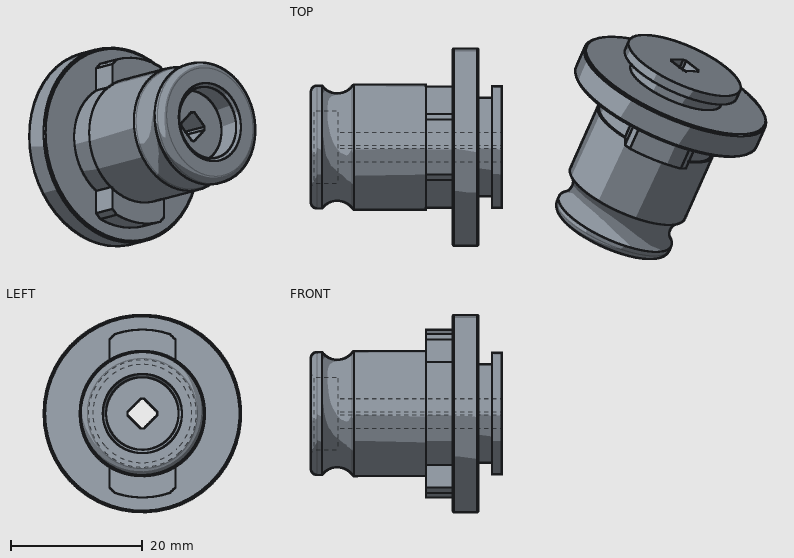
import cadquery as cq

lip_end = 1.7
groove_end = 6.3
shoulder_end = 17.5
flange_start = 21.5
flange_end = 25.5
neck_end = 27.5
total_length = 29.0

lip_diameter = 18.7
groove_diameter = 16.35
body_diameter = 19.05
collar_diameter = 18.5
flange_diameter = 30.0
neck_diameter = 15.0
end_disc_diameter = 18.5

lip_fillet = 1.0
body_chamfer = 0.25
flange_chamfer = 0.25

lug_width = 10.0
lug_diameter = 25.5
lug_corner_chamfer = 0.8

bore_diameter = 11.0
bore_depth = 4.1
bore_chamfer = 0.5
drive_square = 3.5
drive_corner_diameter = 4.5


def disc(diameter, start, end):
    """Solid cylinder along X between two stations."""
    return cq.Workplane("YZ", origin=(start, 0, 0)).circle(diameter / 2).extrude(end - start)


def make_front_body():
    """Rounded lip, concave ring groove and cylindrical body."""
    lip_radius = lip_diameter / 2
    body_radius = body_diameter / 2
    groove_middle = (lip_end + groove_end) / 2
    profile = (
        cq.Workplane("XY")
        .lineTo(0, lip_radius)
        .lineTo(lip_end, lip_radius)
        .threePointArc((groove_middle, groove_diameter / 2), (groove_end, body_radius - body_chamfer))
        .lineTo(groove_end + body_chamfer, body_radius)
        .lineTo(shoulder_end, body_radius)
        .lineTo(shoulder_end, 0)
        .close()
    )
    body = profile.revolve(360, (0, 0, 0), (1, 0, 0))
    return body.faces("<X").edges().fillet(lip_fillet)


def make_lugs():
    """Opposed lugs: a bar with chamfered corners, rounded to the lug diameter."""
    half_width = lug_width / 2
    lug_radius = lug_diameter / 2
    corner_inset = half_width - lug_corner_chamfer
    chamfer_top = (lug_radius**2 - corner_inset**2) ** 0.5
    side_height = chamfer_top - lug_corner_chamfer
    return (
        cq.Workplane("YZ", origin=(shoulder_end, 0, 0))
        .moveTo(half_width, -side_height)
        .lineTo(half_width, side_height)
        .lineTo(corner_inset, chamfer_top)
        .threePointArc((0, lug_radius), (-corner_inset, chamfer_top))
        .lineTo(-half_width, side_height)
        .lineTo(-half_width, -side_height)
        .lineTo(-corner_inset, -chamfer_top)
        .threePointArc((0, -lug_radius), (corner_inset, -chamfer_top))
        .close()
        .extrude(flange_start - shoulder_end)
    )


def make_bore():
    """Blind bore with a chamfered mouth."""
    bore_radius = bore_diameter / 2
    profile = (
        cq.Workplane("XY")
        .lineTo(0, bore_radius + bore_chamfer)
        .lineTo(bore_chamfer, bore_radius)
        .lineTo(bore_depth, bore_radius)
        .lineTo(bore_depth, 0)
        .close()
    )
    return profile.revolve(360, (0, 0, 0), (1, 0, 0))


def make_drive_hole():
    """Square through hole standing on its corner, with corners rounded to a circle."""
    square = (
        cq.Workplane("YZ")
        .transformed(rotate=(0, 0, 45))
        .rect(drive_square, drive_square)
        .extrude(total_length)
    )
    return square.intersect(disc(drive_corner_diameter, 0, total_length))


flange = disc(flange_diameter, flange_start, flange_end).edges().chamfer(flange_chamfer)

result = (
    make_front_body()
    .union(disc(collar_diameter, shoulder_end, flange_start))
    .union(make_lugs())
    .union(flange)
    .union(disc(neck_diameter, flange_end, neck_end))
    .union(disc(end_disc_diameter, neck_end, total_length))
    .cut(make_bore())
    .cut(make_drive_hole())
)